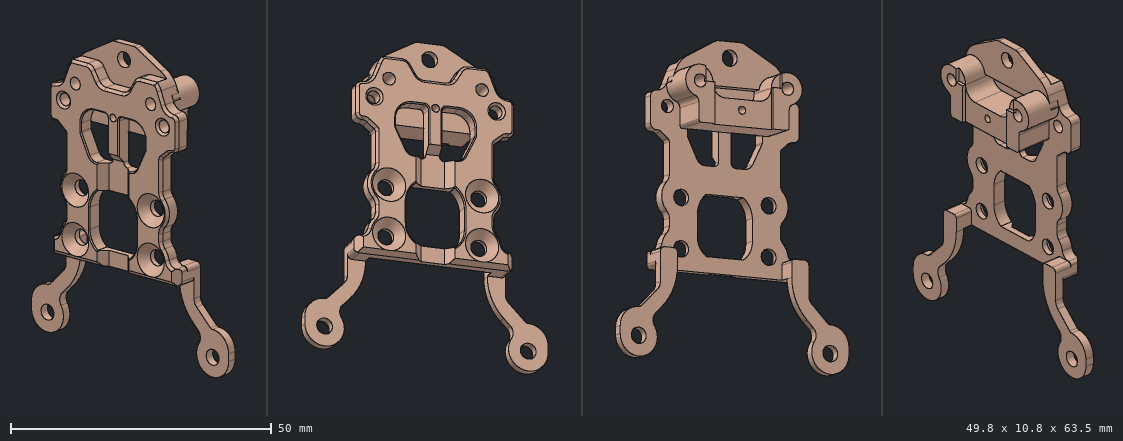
import cadquery as cq
import math

PLATE_BACK = 3.05
FLANGE_FRONT = 3.25
FLANGE_BACK = 5.0
ARM_FRONT = 5.0
ARM_BACK = 7
WALL_BACK = 10.0
POST_BACK = 10.8

TOTAL_WIDTH = 49.8
TOTAL_HEIGHT = 63.5
SHOULDER_X = 16.2
SHOULDER_TOP = 53.05
SHOULDER_BOTTOM = 45.3
SHOULDER_ROOT_X = 14.3
NECK_X = 12.1
NECK_TOP = 43.55
FLANGE_TOP_X = 2.85
FLANGE_BOTTOM = 54.6
CROWN_X = 11.0
CROWN_Z = 58.95
SLANT_FOOT_X = 13.3
PLATE_TOP = 58.7
PLATE_BOTTOM = 18.3
TAB_TOP = 21.85
EDGE_CHAMFER = 0.6
FLANGE_RADIUS = 1.65
CROWN_RADIUS = 5.4
SLANT_BLEND = 2.4
SHOULDER_RADIUS = 1.2
SHOULDER_BLEND = 1.4
NECK_BLEND = 0.65
PLATE_TAB_CORNER = 0.65

NOTCH_FLOOR = 54.85
NOTCH_FLOOR_X = 3.3
NOTCH_TOP_X = 5.65
NOTCH_RADIUS = 2.0

BOSS_X = 9.5
BOSS_UPPER_Z = 32.55
BOSS_LOWER_Z = 22.55
BOSS_RADIUS = 4.25
BOSS_FLANK_ANGLE = math.radians(42)
BOSS_FOOT_ANGLE = math.radians(11)
BOSS_BLEND = 2.0
TAB_BLEND = 1.85
SCREW_DIAMETER = 3.2
COUNTERSINK_DIAMETER = 6.8

WINDOW_CHAMFER = 0.25
STRIP_HALF_WIDTH = 1.4
SIDE_WINDOW_X = 8.1
SIDE_WINDOW_TOP = 49.75
SIDE_WINDOW_KNEE = 44.55
SIDE_WINDOW_BOTTOM = 39.2
SIDE_WINDOW_FOOT_X = 5.5
LOWER_WINDOW_X = 5.95
LOWER_WINDOW_TOP = 33.65
LOWER_WINDOW_BOTTOM = 21.5
LOWER_WINDOW_FLAT_X = 4.0
LOWER_WINDOW_CORNER = 3.8
LOWER_WINDOW_BULGE_X = 5.3
LOWER_WINDOW_TOP_BULGE = 1.6
LOWER_WINDOW_BOTTOM_BULGE = 1.4
STRIP_TOP_RADIUS = 0.9
STRIP_FOOT_RADIUS = 0.95
SIDE_WINDOW_TOP_RADIUS = 3.35
SIDE_WINDOW_KNEE_RADIUS = 0.65
SIDE_WINDOW_FOOT_RADIUS = 1.9

CHANNEL_HALF_WIDTH = 4.0
CHANNEL_DEPTH = 1.6
CHANNEL_TOP = 41.8
BOTTOM_BEVEL = 0.95
SIDE_BEVEL = 1.4

POST_X = 9.5
POST_Z = 54.15
POST_RADIUS = 3.2
WALL_SIDE_X = 9.85
WALL_BOTTOM = 46.0
WALL_SADDLE = 51.35
SADDLE_RADIUS = 2.7
WALL_CORNER = 0.6
POST_BLEND = 1.3
RECESS_X = 8.25

SMALL_DIAMETER = 2.55
PIN_DIAMETER = 1.5
PIN_Z = 49.25
TOP_HOLE_DIAMETER = 3.2
TOP_HOLE_Z = 60.25
EAR_X = 12.5
EAR_Z = 50.15
EAR_SINK_DIAMETER = 3.55

EYE_RADIUS = 4.05
EYE_X = TOTAL_WIDTH / 2 - EYE_RADIUS
EYE_Z = EYE_RADIUS
EYE_TOP = 9.7
EYE_HOLE_DIAMETER = 3.2
ARM_INNER_X = 12.45
ARM_KNEE_Z = 14.0
ARM_KNEE_RADIUS = 2.15
ARM_WIDTH_DROP = 4.3
ARM_BEND_RADIUS = 11.4
ARM_INNER_BLEND = 2.0
ARM_OUTER_BLEND = 0.75
TAB_CORNER = 0.95
TAB_INNER_CORNER = 0.65

SELECTION_MARGIN = 0.05


def slab(y_front):
    """XZ work plane at a depth; its local axes are X and Z."""
    return cq.Workplane("XZ", origin=(0, y_front, 0))


def corner_arcs(corners):
    """Start, middle and end of each corner arc of a polygon with corners (x, z, radius)."""
    ends = []
    count = len(corners)
    for i, (x, z, radius) in enumerate(corners):
        here = cq.Vector(x, z)
        back = (cq.Vector(*corners[i - 1][:2]) - here).normalized()
        ahead = (cq.Vector(*corners[(i + 1) % count][:2]) - here).normalized()
        half_angle = back.getAngle(ahead) / 2
        tangent = radius / math.tan(half_angle)
        middle = here + (back + ahead).normalized() * (radius / math.sin(half_angle) - radius)
        ends.append((here + back * tangent, middle, here + ahead * tangent, radius))
    return ends


def rounded_prism(corners, y_front, y_back):
    """Polygon with rounded corners in XZ, extruded from y_front to y_back."""
    ends = corner_arcs(corners)
    sketch = slab(y_front).moveTo(*ends[-1][2].toTuple()[:2])
    for start, middle, finish, radius in ends:
        sketch = sketch.lineTo(start.x, start.y)
        if radius > 0:
            sketch = sketch.threePointArc((middle.x, middle.y), (finish.x, finish.y))
    return sketch.close().extrude(y_front - y_back)


def symmetric(right_side):
    """Corners of the right half followed by their mirror images."""
    return right_side + [(-x, z, radius) for x, z, radius in reversed(right_side)]


def both_sides(solid):
    return solid.union(solid.mirror("YZ"))


def cylinder(x, z, diameter, y_front, y_back):
    return slab(y_front).center(x, z).circle(diameter / 2).extrude(y_front - y_back)


def cone(x, z, wide, narrow):
    """45 degree countersink that opens at the front face."""
    depth = (wide - narrow) / 2
    axis_start = cq.Vector(x, 0, z)
    return cq.Workplane(cq.Solid.makeCone(wide / 2, narrow / 2, depth, axis_start, cq.Vector(0, 1, 0)))


def box(x_half, y_front, y_back, z_low, z_high):
    """Block centred on X = 0."""
    size = (2 * x_half, y_back - y_front, z_high - z_low)
    return cq.Workplane(origin=(-x_half, y_front, z_low)).box(*size, centered=False)


def blend(solid, x, y, z, radius):
    """Round the edge along Y that lies nearest to a point."""
    near = cq.NearestToPointSelector((x, y, z))
    return solid.edges("|Y").edges(near).fillet(radius)


def shoulder_side():
    return [
        (CROWN_X, CROWN_Z, CROWN_RADIUS),
        (SLANT_FOOT_X, SHOULDER_TOP, SLANT_BLEND),
        (SHOULDER_X, SHOULDER_TOP, SHOULDER_RADIUS),
        (SHOULDER_X, SHOULDER_BOTTOM, SHOULDER_RADIUS),
        (SHOULDER_ROOT_X, SHOULDER_BOTTOM, SHOULDER_BLEND),
        (NECK_X, NECK_TOP, NECK_BLEND),
    ]


def boss_side():
    """Corners that follow the two bosses."""
    neck_offset = (NECK_X - BOSS_X) * math.cos(BOSS_FLANK_ANGLE)
    flank = (BOSS_RADIUS - neck_offset) / math.sin(BOSS_FLANK_ANGLE)
    apex_x = BOSS_X + BOSS_RADIUS / math.cos(BOSS_FLANK_ANGLE)
    mean = (BOSS_FLANK_ANGLE + BOSS_FOOT_ANGLE) / 2
    reach = BOSS_RADIUS / math.cos((BOSS_FLANK_ANGLE - BOSS_FOOT_ANGLE) / 2)
    foot_drop = (BOSS_LOWER_Z - TAB_TOP) * math.sin(BOSS_FOOT_ANGLE)
    foot_x = BOSS_X + (BOSS_RADIUS + foot_drop) / math.cos(BOSS_FOOT_ANGLE)
    return [
        (NECK_X, BOSS_UPPER_Z + flank, BOSS_BLEND),
        (apex_x, BOSS_UPPER_Z, BOSS_RADIUS),
        (NECK_X, BOSS_UPPER_Z - flank, BOSS_BLEND),
        (NECK_X, BOSS_LOWER_Z + flank, BOSS_BLEND),
        (BOSS_X + reach * math.cos(mean), BOSS_LOWER_Z + reach * math.sin(mean), BOSS_RADIUS),
        (foot_x, TAB_TOP, TAB_BLEND),
    ]


def make_plate():
    tab_side = [(SHOULDER_X, TAB_TOP, PLATE_TAB_CORNER), (SHOULDER_X, PLATE_BOTTOM, TAB_CORNER)]
    tall_side = [(FLANGE_TOP_X, TOTAL_HEIGHT, FLANGE_RADIUS)] + shoulder_side()
    outline = symmetric(tall_side + boss_side() + tab_side)
    plate = rounded_prism(outline, 0, PLATE_BACK)
    head = rounded_prism(outline, PLATE_BACK, FLANGE_BACK)
    head = head.intersect(box(SHOULDER_X, 0, FLANGE_BACK, FLANGE_BOTTOM, TOTAL_HEIGHT))
    body = plate.union(head)

    notch = rounded_prism(
        symmetric([
            (SHOULDER_X, TOTAL_HEIGHT, 0),
            (SHOULDER_X, PLATE_TOP, 0),
            (NOTCH_TOP_X, PLATE_TOP, NOTCH_RADIUS),
            (NOTCH_FLOOR_X, NOTCH_FLOOR, NOTCH_RADIUS),
        ]),
        0,
        FLANGE_FRONT,
    )
    body = body.cut(notch)
    low_corner = (-SHOULDER_X - SELECTION_MARGIN, -SELECTION_MARGIN, TAB_TOP + SELECTION_MARGIN)
    high_corner = (SHOULDER_X + SELECTION_MARGIN, SELECTION_MARGIN, TOTAL_HEIGHT)
    above_tabs = cq.selectors.BoxSelector(low_corner, high_corner)
    return body.faces("<Y").edges(above_tabs).chamfer(EDGE_CHAMFER)


def make_wall_and_posts():
    wall = rounded_prism(
        symmetric([
            (POST_X - POST_RADIUS, WALL_SADDLE, SADDLE_RADIUS),
            (POST_X - POST_RADIUS, POST_Z, 0),
            (WALL_SIDE_X, POST_Z, 0),
            (WALL_SIDE_X, WALL_BOTTOM, WALL_CORNER),
        ]),
        PLATE_BACK,
        POST_BACK,
    )
    for x in (-POST_X, POST_X):
        wall = wall.union(cylinder(x, POST_Z, 2 * POST_RADIUS, PLATE_BACK, POST_BACK))
    depth_middle = (PLATE_BACK + POST_BACK) / 2
    for side in (-1, 1):
        wall = blend(wall, side * WALL_SIDE_X, depth_middle, POST_Z - POST_RADIUS, POST_BLEND)
    wall = wall.cut(box(POST_X - POST_RADIUS, WALL_BACK, POST_BACK, WALL_BOTTOM, POST_Z))
    return wall.cut(box(RECESS_X, WALL_BACK, POST_BACK, POST_Z, POST_Z + POST_RADIUS))


def make_arm():
    """Right arm: a stub behind the plate's tab and a bent link down to the eye."""
    knee_sum = SHOULDER_X + ARM_KNEE_Z
    inner_sum = knee_sum - ARM_WIDTH_DROP
    link = rounded_prism(
        [
            (ARM_INNER_X, TAB_TOP, TAB_INNER_CORNER),
            (SHOULDER_X, TAB_TOP, TAB_CORNER),
            (SHOULDER_X, ARM_KNEE_Z, ARM_KNEE_RADIUS),
            (knee_sum - EYE_TOP, EYE_TOP, ARM_OUTER_BLEND),
            (EYE_X + EYE_RADIUS, EYE_TOP, EYE_RADIUS),
            (EYE_X + EYE_RADIUS, EYE_Z, 0),
            (EYE_X, EYE_Z, 0),
            (EYE_X, inner_sum - EYE_X, 0),
            (ARM_INNER_X, inner_sum - ARM_INNER_X, ARM_BEND_RADIUS),
        ],
        ARM_FRONT,
        ARM_BACK,
    )
    link = link.union(cylinder(EYE_X, EYE_Z, 2 * EYE_RADIUS, ARM_FRONT, ARM_BACK))
    depth_middle = (ARM_FRONT + ARM_BACK) / 2
    eye_diagonal = EYE_RADIUS * math.sqrt(0.5)
    link = blend(link, EYE_X - eye_diagonal, depth_middle, EYE_Z + eye_diagonal, ARM_INNER_BLEND)
    stub = rounded_prism(
        [
            (ARM_INNER_X, TAB_TOP, TAB_INNER_CORNER),
            (SHOULDER_X, TAB_TOP, TAB_CORNER),
            (SHOULDER_X, PLATE_BOTTOM, TAB_CORNER),
            (ARM_INNER_X, PLATE_BOTTOM, 0),
        ],
        PLATE_BACK,
        ARM_FRONT,
    )
    return link.union(stub)


def bevel_bottom(body):
    """Bevel the bottom edge and the lower outer edges of the front face."""
    bottom = (
        cq.Workplane("YZ", origin=(-SHOULDER_X, 0, 0))
        .moveTo(0, PLATE_BOTTOM)
        .lineTo(BOTTOM_BEVEL, PLATE_BOTTOM)
        .lineTo(0, PLATE_BOTTOM + BOTTOM_BEVEL)
        .close()
        .extrude(2 * SHOULDER_X)
    )
    side = (
        cq.Workplane("XY", origin=(0, 0, PLATE_BOTTOM))
        .moveTo(SHOULDER_X, 0)
        .lineTo(SHOULDER_X, SIDE_BEVEL)
        .lineTo(SHOULDER_X - SIDE_BEVEL, 0)
        .close()
        .extrude(TAB_TOP - PLATE_BOTTOM)
    )
    return body.cut(bottom).cut(both_sides(side))


def make_channel():
    """Flat-bottomed channel with 45 degree sides and a 45 degree upper end."""
    profile = (
        cq.Workplane("XY", origin=(0, 0, PLATE_BOTTOM))
        .moveTo(-CHANNEL_HALF_WIDTH, 0)
        .lineTo(CHANNEL_HALF_WIDTH, 0)
        .lineTo(CHANNEL_HALF_WIDTH - CHANNEL_DEPTH, CHANNEL_DEPTH)
        .lineTo(CHANNEL_DEPTH - CHANNEL_HALF_WIDTH, CHANNEL_DEPTH)
        .close()
        .extrude(CHANNEL_TOP - PLATE_BOTTOM)
    )
    end = (
        cq.Workplane("YZ", origin=(-CHANNEL_HALF_WIDTH, 0, 0))
        .moveTo(0, CHANNEL_TOP)
        .lineTo(CHANNEL_DEPTH, CHANNEL_TOP)
        .lineTo(CHANNEL_DEPTH, CHANNEL_TOP - CHANNEL_DEPTH)
        .close()
        .extrude(2 * CHANNEL_HALF_WIDTH)
    )
    return profile.cut(end)


def flare_front(window):
    """Widen a window cutter at the front face by a 45 degree chamfer."""
    rim = window.faces("<Y").wires().vals()[0]
    wide_rim = rim.offset2D(WINDOW_CHAMFER)[0]
    inner_rim = rim.translate(cq.Vector(0, WINDOW_CHAMFER, 0))
    flare = cq.Workplane(cq.Solid.makeLoft([wide_rim, inner_rim], True))
    return window.union(flare)


def make_lower_window():
    flat, wall = LOWER_WINDOW_FLAT_X, LOWER_WINDOW_X
    bulge = LOWER_WINDOW_BULGE_X
    top, bottom = LOWER_WINDOW_TOP, LOWER_WINDOW_BOTTOM
    upper, lower = top - LOWER_WINDOW_CORNER, bottom + LOWER_WINDOW_CORNER
    upper_bulge = top - LOWER_WINDOW_TOP_BULGE
    lower_bulge = bottom + LOWER_WINDOW_BOTTOM_BULGE
    return (
        slab(0)
        .moveTo(-flat, top)
        .lineTo(flat, top)
        .threePointArc((bulge, upper_bulge), (wall, upper))
        .lineTo(wall, lower)
        .threePointArc((bulge, lower_bulge), (flat, bottom))
        .lineTo(-flat, bottom)
        .threePointArc((-bulge, lower_bulge), (-wall, lower))
        .lineTo(-wall, upper)
        .threePointArc((-bulge, upper_bulge), (-flat, top))
        .close()
        .extrude(-PLATE_BACK)
    )


def make_windows():
    side = rounded_prism(
        [
            (STRIP_HALF_WIDTH, SIDE_WINDOW_TOP, STRIP_TOP_RADIUS),
            (SIDE_WINDOW_X, SIDE_WINDOW_TOP, SIDE_WINDOW_TOP_RADIUS),
            (SIDE_WINDOW_X, SIDE_WINDOW_KNEE, SIDE_WINDOW_KNEE_RADIUS),
            (SIDE_WINDOW_FOOT_X, SIDE_WINDOW_BOTTOM, SIDE_WINDOW_FOOT_RADIUS),
            (STRIP_HALF_WIDTH, SIDE_WINDOW_BOTTOM, STRIP_FOOT_RADIUS),
        ],
        0,
        PLATE_BACK,
    )
    return both_sides(flare_front(side)).union(flare_front(make_lower_window()))


def make_holes():
    holes = cylinder(0, TOP_HOLE_Z, TOP_HOLE_DIAMETER, 0, FLANGE_BACK)
    holes = holes.union(cylinder(0, PIN_Z, PIN_DIAMETER, 0, WALL_BACK))
    right = cylinder(POST_X, POST_Z, SMALL_DIAMETER, 0, POST_BACK)
    right = right.union(cylinder(EAR_X, EAR_Z, SMALL_DIAMETER, 0, PLATE_BACK))
    right = right.union(cone(EAR_X, EAR_Z, EAR_SINK_DIAMETER, SMALL_DIAMETER))
    right = right.union(cylinder(EYE_X, EYE_Z, EYE_HOLE_DIAMETER, ARM_FRONT, ARM_BACK))
    for z in (BOSS_UPPER_Z, BOSS_LOWER_Z):
        right = right.union(cylinder(BOSS_X, z, SCREW_DIAMETER, 0, PLATE_BACK))
        right = right.union(cone(BOSS_X, z, COUNTERSINK_DIAMETER, SCREW_DIAMETER))
    return holes.union(both_sides(right))


body = bevel_bottom(make_plate())
body = body.cut(make_channel()).cut(make_windows())
body = body.union(make_wall_and_posts()).union(both_sides(make_arm()))
result = body.cut(make_holes())